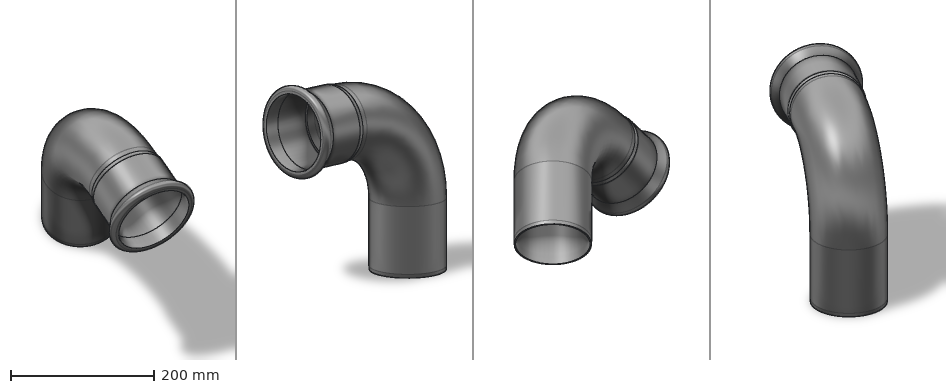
import cadquery as cq
import math

pipe_radius = 108.8 / 2
pipe_bore_radius = 104.0 / 2
spigot_tip_radius = 108.0 / 2
spigot_tip_length = 5.7
total_height = 298.8
total_length = 273.7
bend_radius = 129.7
socket_radius = 112.7 / 2
socket_bore_radius = 110.5 / 2
shoulder_start = 82.0
shoulder_end = 75.3
flare_start = 23.3
collar_radius = 132.5 / 2
collar_round = 6.5

spigot_length = total_height - bend_radius - collar_radius
mouth_x = total_length - pipe_radius
socket_axis_z = spigot_length + bend_radius


def bent_cylinder(radius):
    """Round bar following the spigot leg, the quarter bend and the socket leg."""
    middle_offset = bend_radius * math.sqrt(0.5)
    path = (
        cq.Workplane("XZ")
        .lineTo(0, spigot_length)
        .threePointArc(
            (bend_radius - middle_offset, spigot_length + middle_offset),
            (bend_radius, socket_axis_z),
        )
        .lineTo(mouth_x, socket_axis_z)
    )
    return cq.Workplane("XY").circle(radius).sweep(path)


def revolve_about_socket_axis(profile):
    """Turn a profile, drawn in the XZ plane, about the socket axis."""
    return profile.close().revolve(360, (0, 0, 0), (1, 0, 0))


def socket_profile_plane():
    return cq.Workplane("XZ", origin=(mouth_x, 0, socket_axis_z))


def socket_body():
    """Socket with a rounded shoulder, a conical flare and a rounded collar."""
    round_center_x = -collar_round
    round_center_r = collar_radius - collar_round
    run = round_center_x + flare_start
    rise = round_center_r - socket_radius
    flare_angle = math.atan2(rise, run) + math.asin(collar_round / math.hypot(run, rise))
    tangent_x = round_center_x - collar_round * math.sin(flare_angle)
    tangent_r = round_center_r + collar_round * math.cos(flare_angle)

    shoulder_run = shoulder_start - shoulder_end
    shoulder_rise = socket_radius - pipe_radius
    shoulder_round = (shoulder_run**2 + shoulder_rise**2) / (2 * shoulder_rise)
    profile = (
        socket_profile_plane()
        .moveTo(-shoulder_start, 0)
        .lineTo(-shoulder_start, pipe_radius)
        .radiusArc((-shoulder_end, socket_radius), shoulder_round)
        .lineTo(-flare_start, socket_radius)
        .lineTo(tangent_x, tangent_r)
        .threePointArc((round_center_x, collar_radius), (0, round_center_r))
        .lineTo(0, 0)
    )
    return revolve_about_socket_axis(profile)


def socket_bore():
    """Wider bore that receives the mating pipe and stops at the shoulder."""
    return (
        cq.Workplane("YZ", origin=(mouth_x, 0, socket_axis_z))
        .circle(socket_bore_radius)
        .extrude(-shoulder_end)
    )


def spigot_tip_cut():
    """Ring outside the slightly tapered tip of the spigot."""
    profile = (
        cq.Workplane("XZ")
        .moveTo(spigot_tip_radius, 0)
        .lineTo(pipe_radius, spigot_tip_length)
        .lineTo(pipe_radius, 0)
        .close()
    )
    return profile.revolve(360, (0, 0, 0), (0, 1, 0))


result = (
    bent_cylinder(pipe_radius)
    .union(socket_body())
    .cut(spigot_tip_cut())
    .cut(bent_cylinder(pipe_bore_radius))
    .cut(socket_bore())
)